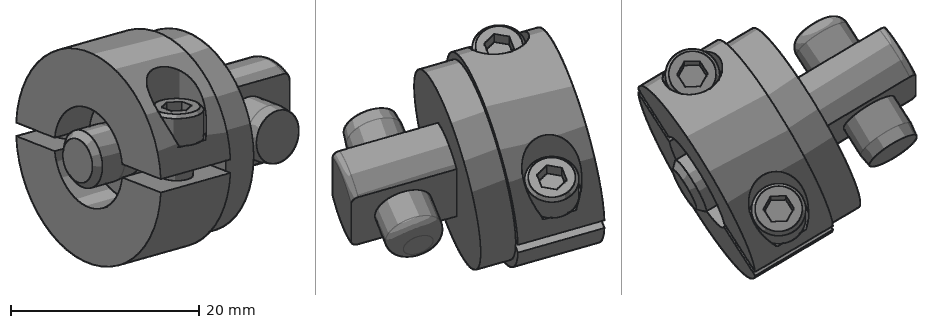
import cadquery as cq

collar_radius = 11.9
collar_length = 9.7
split_gap = 1.5
flange_radius = 11.08
flange_length = 3.9
flange_back = collar_length + flange_length

shaft_radius = 5.58
shaft_front = 4.85
tang_length = 11.85
tang_width = 6.18
tang_end_round = 0.78
shaft_back = flange_back + tang_length

pin_radius = 3.18
pin_tip_radius = 2.97
nose_projection = 1.5
nose_chamfer = 0.75
nose_taper_start = 2.32
cross_pin_y = 19.6
cross_pin_left = -7.98
cross_pin_right = 7.98
cross_pin_round = 1.5
cross_pin_taper_length = 1.45

screw_x = 8.75
screw_y = collar_length / 2
head_radius = 2.89
head_seat_z = 3.5
head_top_z = 7.0
head_chamfer = 0.38
counterbore_radius = 3.18
shank_radius = 1.75
hex_corner_diameter = 3.24
hex_depth = 1.62


def rod_y(radius, start, end):
    """Cylinder on the Y axis between two Y positions."""
    return cq.Workplane("XZ", origin=(0, start, 0)).circle(radius).extrude(start - end)


def rod_z(x, radius, bottom, top):
    """Vertical cylinder at a screw position."""
    return cq.Workplane("XY", origin=(x, screw_y, bottom)).circle(radius).extrude(top - bottom)


def split_collar():
    collar = rod_y(collar_radius, 0, collar_length).cut(rod_y(shaft_radius, 0, collar_length))
    gap = cq.Workplane("XY").box(2 * collar_radius, collar_length, split_gap)
    collar = collar.cut(gap.translate((0, collar_length / 2, 0)))
    for x in (-screw_x, screw_x):
        collar = collar.cut(rod_z(x, counterbore_radius, head_seat_z, collar_radius))
    return collar


def shaft():
    front = rod_y(shaft_radius, shaft_front, flange_back)
    tang = rod_y(shaft_radius, flange_back, shaft_back)
    tang = tang.faces(">Y").edges().fillet(tang_end_round)
    slab = cq.Workplane("XY").box(tang_width, tang_length, 2 * shaft_radius)
    tang = tang.intersect(slab.translate((0, flange_back + tang_length / 2, 0)))
    return front.union(tang)


def nose_pin():
    """Pin with a chamfered nose, tapering slightly towards the shaft."""
    profile = (
        cq.Workplane("XY")
        .moveTo(0, -nose_projection)
        .lineTo(pin_radius - nose_chamfer, -nose_projection)
        .lineTo(pin_radius, nose_chamfer - nose_projection)
        .lineTo(pin_radius, nose_taper_start)
        .lineTo(pin_tip_radius, shaft_front)
        .lineTo(0, shaft_front)
        .close()
    )
    return profile.revolve(360, (0, 0, 0), (0, 1, 0))


def cross_pin():
    """Pin with a rounded left end and a slightly tapered right end."""
    pin = cq.Workplane("YZ", origin=(cross_pin_left, cross_pin_y, 0)).circle(pin_radius)
    pin = pin.extrude(cross_pin_right - cross_pin_left)
    pin = pin.faces("<X").edges().fillet(cross_pin_round)
    return pin.faces(">X").chamfer(cross_pin_taper_length, pin_radius - pin_tip_radius)


def clamp_screw(x):
    head = rod_z(x, head_radius, head_seat_z, head_top_z).faces(">Z").chamfer(head_chamfer)
    socket = cq.Workplane("XY", origin=(x, screw_y, head_top_z))
    head = head.cut(socket.polygon(6, hex_corner_diameter).extrude(-hex_depth))
    return head.union(rod_z(x, shank_radius, -head_seat_z, head_seat_z))


result = split_collar().union(rod_y(flange_radius, collar_length, flange_back))
for feature in (shaft(), nose_pin(), cross_pin(), clamp_screw(-screw_x), clamp_screw(screw_x)):
    result = result.union(feature)